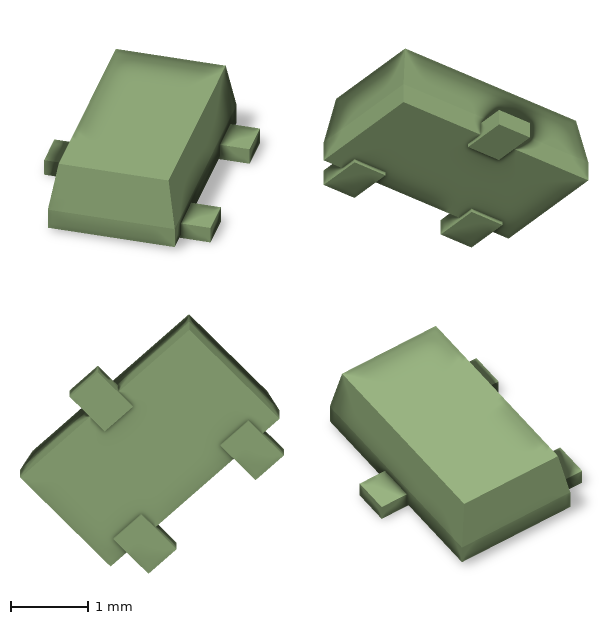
import cadquery as cq
import math

overall_height = 0.99
lead_span = 2.49

housing_width = 1.7
housing_length = 3.0
standoff = 0.05
parting_height = 0.33
draft_angle = 9.8

lead_width = 0.5
lead_thickness = 0.225
lead_length = 0.66
lead_pitch = 1.9

mark_diameter = 0.085
mark_depth = 0.02
mark_edge_gap = 0.015

draft_height = overall_height - parting_height
draft_inset = draft_height * math.tan(math.radians(draft_angle))
mark_x = -housing_width / 2 + draft_inset + mark_edge_gap + mark_diameter / 2

lead_places = [(-1, 0.0), (1, lead_pitch / 2), (1, -lead_pitch / 2)]


def make_lead(side, y):
    """Flat lead whose outer end lies at half the lead span."""
    x = side * (lead_span - lead_length) / 2
    return (
        cq.Workplane("XY")
        .box(lead_length, lead_width, lead_thickness, centered=(True, True, False))
        .translate((x, y, 0))
    )


def make_mark():
    """Thin disc that fills a recess in the housing top."""
    return (
        cq.Workplane("XY", origin=(mark_x, 0, overall_height - mark_depth))
        .circle(mark_diameter / 2)
        .extrude(mark_depth)
    )


def make_housing(inserts):
    """Housing block with a matching recess for every inserted body."""
    base = (
        cq.Workplane("XY", origin=(0, 0, standoff))
        .rect(housing_width, housing_length)
        .extrude(parting_height - standoff)
    )
    cap = (
        cq.Workplane("XY", origin=(0, 0, parting_height))
        .rect(housing_width, housing_length)
        .extrude(draft_height, taper=draft_angle)
    )
    housing = base.union(cap)
    for insert in inserts:
        housing = housing.cut(insert)
    return housing


leads = [make_lead(side, y) for side, y in lead_places]
mark = make_mark()
housing = make_housing(leads + [mark])

result = cq.Compound.makeCompound([housing.val(), mark.val(), *[lead.val() for lead in leads]])